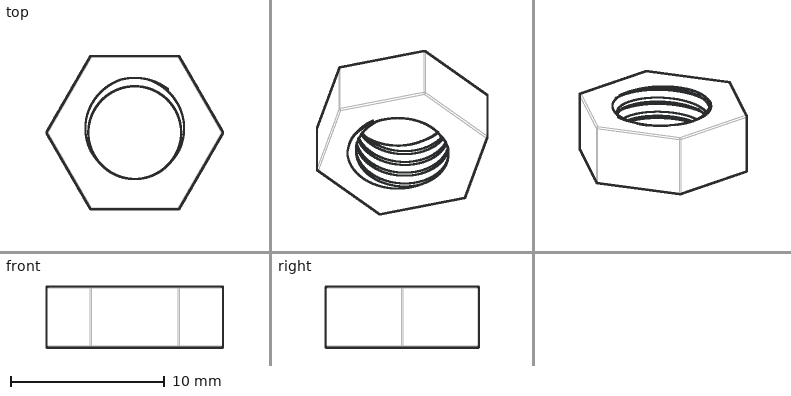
import cadquery as cq
import math

across_flats = 10.0
height = 4.0
edge_radius = 0.1
across_corners = across_flats / math.cos(math.radians(30))

crest_diameter = 6.04
root_diameter = 7.14
thread_turns = 4
pitch = height / thread_turns
root_flat = 0.08
flank_angle = 30
groove_start_angle = 90
end_overrun_turns = 1
overlap = 0.06


def make_body():
    body = cq.Workplane("XY").polygon(6, across_corners).extrude(height)
    return body.edges().fillet(edge_radius)


def make_thread_cutter():
    root_radius = root_diameter / 2
    base_radius = crest_diameter / 2 - overlap
    root_half_width = root_flat / 2
    flank_rise = (root_radius - base_radius) * math.tan(math.radians(flank_angle))
    base_half_width = root_half_width + flank_rise

    helix_height = (thread_turns + 2 * end_overrun_turns) * pitch
    helix = cq.Wire.makeHelix(pitch, helix_height, base_radius)
    cutter = (
        cq.Workplane("XZ")
        .moveTo(base_radius, -base_half_width)
        .lineTo(root_radius, -root_half_width)
        .lineTo(root_radius, root_half_width)
        .lineTo(base_radius, base_half_width)
        .close()
        .sweep(cq.Workplane(obj=helix), isFrenet=True)
    )
    cutter = cutter.rotate((0, 0, 0), (0, 0, 1), groove_start_angle)
    return cutter.translate((0, 0, -end_overrun_turns * pitch))


bore = cq.Workplane("XY").circle(crest_diameter / 2).extrude(height)
result = make_body().cut(bore).cut(make_thread_cutter())